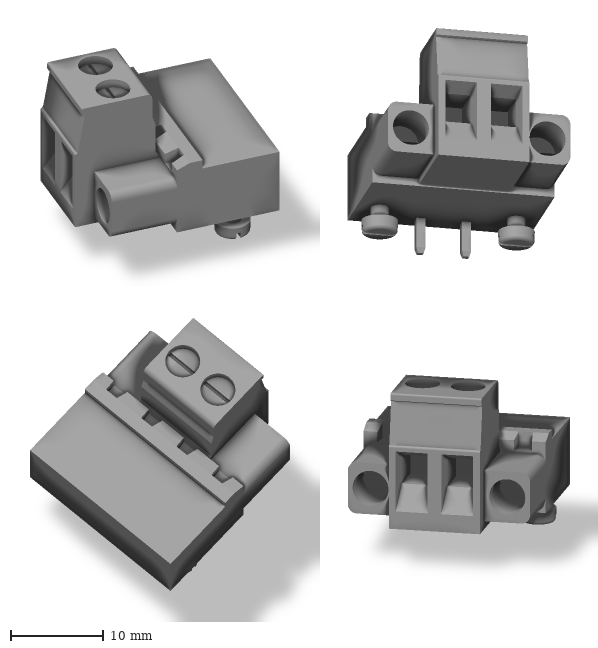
import cadquery as cq
import math

PITCH = 5.08
POLE_XS = [-PITCH / 2, PITCH / 2]
FLANGE_XS = [-1.5 * PITCH, 1.5 * PITCH]

HEADER_WIDTH = 4 * PITCH
HEADER_DEPTH = 12.0
HEADER_HEIGHT = 7.55
LIP_DEPTH = 3.0
LIP_HEIGHT = 8.6
LIP_FRONT_HEIGHT = 8.0
LIP_SLOPE_DEPTH = 1.5
NOTCH_FLOOR = 6.85
NOTCH_FRONT_WIDTH = 2.0
NOTCH_BACK_WIDTH = 1.55

PLUG_WIDTH = 2 * PITCH
PLUG_FRONT = -9.9
PLUG_BACK = -0.87
PLUG_HEIGHT = 15.05
WAIST_BACK = -0.5
WAIST_FOOT_HEIGHT = 6.85
WAIST_BOTTOM = 7.5
WAIST_TOP = 11.05
WAIST_TAPER_TOP = 12.1
PLUG_TOP_RADIUS = 0.6
SHOULDER_HEIGHT = 9.4
SHOULDER_RADIUS = 0.25
SHOULDER_DEPTH = 0.3
CAP_FRONT = -9.1
CAP_UNDERSIDE = 14.25
CAP_RADIUS = 0.2
CAP_OVERHANG = 0.33
CAP_CHAMFER = 0.15

FLANGE_DEPTH = 7.65
FLANGE_BOTTOM = 0.85
FLANGE_TOP = 6.63
FLANGE_RADIUS = 1.0
FLANGE_HOLE_DIAMETER = 4.0
FLANGE_HOLE_DEPTH = 5.0
FLANGE_HOLE_Z = 3.75

CLAMP_HOLE_DIAMETER = 3.8
CLAMP_HOLE_DEPTH = 1.0
CLAMP_Y = -4.46
SUNK_SLOT_WIDTH = 0.45
SUNK_SLOT_DEPTH = 0.5

ENTRY_WIDTH = 3.53
ENTRY_BOTTOM = 2.0
ENTRY_TOP = 8.75
ENTRY_RAMP_DEPTH = 1.9
ENTRY_DEPTH = 6.0
ENTRY_BACK_WIDTH = 3.0
ENTRY_BACK_BOTTOM = 4.65
ENTRY_BACK_TOP = 7.9

PIN_Y = 10.0
PIN_SIZE = 1.0
PIN_LENGTH = 4.0
PIN_TIP_LENGTH = 0.6
PIN_TIP_SIZE = 0.65

BOARD_SCREW_Y = 7.48
SHANK_DIAMETER = 2.0
SHANK_LENGTH = 1.5
HEAD_DIAMETER = 4.0
HEAD_LOWER_DIAMETER = 3.9
HEAD_HEIGHT = 1.55
HEAD_EDGE_HEIGHT = 0.45
HEAD_FACE_DIAMETER = 3.2
HEAD_SLOT_WIDTH = 0.6
HEAD_SLOT_DEPTH = 0.85


def box(x_mid, width, y_min, y_max, z_min, z_max):
    """Upright box centred on x_mid."""
    corner = (x_mid - width / 2, y_min, z_min)
    return cq.Workplane("XY").box(width, y_max - y_min, z_max - z_min, centered=False).translate(corner)


def extrude_profile(profile, width):
    """Extrude a closed YZ outline symmetrically about the mid plane."""
    return profile.close().extrude(width / 2, both=True)


def make_header():
    profile = (
        cq.Workplane("YZ")
        .moveTo(0, 0)
        .lineTo(HEADER_DEPTH, 0)
        .lineTo(HEADER_DEPTH, HEADER_HEIGHT)
        .lineTo(LIP_DEPTH, HEADER_HEIGHT)
        .lineTo(LIP_DEPTH, LIP_HEIGHT)
        .lineTo(LIP_SLOPE_DEPTH, LIP_HEIGHT)
        .lineTo(0, LIP_FRONT_HEIGHT)
    )
    header = extrude_profile(profile, HEADER_WIDTH)
    for x in FLANGE_XS + POLE_XS:
        header = header.cut(make_lip_notch(x))
    return header


def make_lip_notch(x):
    """Notch in the lip, narrowing away from the mating face."""
    return (
        cq.Workplane("XY", origin=(x, 0, NOTCH_FLOOR))
        .moveTo(-NOTCH_FRONT_WIDTH / 2, 0)
        .lineTo(NOTCH_FRONT_WIDTH / 2, 0)
        .lineTo(NOTCH_BACK_WIDTH / 2, LIP_SLOPE_DEPTH)
        .lineTo(-NOTCH_BACK_WIDTH / 2, LIP_SLOPE_DEPTH)
        .close()
        .extrude(LIP_HEIGHT - NOTCH_FLOOR)
    )


def make_plug_body():
    shoulder_edge = PLUG_FRONT + SHOULDER_DEPTH
    profile = (
        cq.Workplane("YZ")
        .moveTo(PLUG_FRONT, 0)
        .lineTo(PLUG_BACK, 0)
        .lineTo(PLUG_BACK, FLANGE_BOTTOM)
        .lineTo(0, FLANGE_BOTTOM)
        .lineTo(0, WAIST_FOOT_HEIGHT)
        .lineTo(WAIST_BACK, WAIST_BOTTOM)
        .lineTo(WAIST_BACK, WAIST_TOP)
        .lineTo(PLUG_BACK, WAIST_TAPER_TOP)
        .lineTo(PLUG_BACK, PLUG_HEIGHT - PLUG_TOP_RADIUS)
        .radiusArc((PLUG_BACK - PLUG_TOP_RADIUS, PLUG_HEIGHT), -PLUG_TOP_RADIUS)
        .lineTo(CAP_FRONT + CAP_RADIUS, PLUG_HEIGHT)
        .radiusArc((CAP_FRONT, PLUG_HEIGHT - CAP_RADIUS), -CAP_RADIUS)
        .lineTo(CAP_FRONT, CAP_UNDERSIDE)
        .lineTo(CAP_FRONT + CAP_OVERHANG, CAP_UNDERSIDE - CAP_CHAMFER)
        .lineTo(shoulder_edge, SHOULDER_HEIGHT)
        .lineTo(PLUG_FRONT + SHOULDER_RADIUS, SHOULDER_HEIGHT)
        .radiusArc((PLUG_FRONT, SHOULDER_HEIGHT - SHOULDER_RADIUS), -SHOULDER_RADIUS)
    )
    return extrude_profile(profile, PLUG_WIDTH)


def make_flanges():
    span = box(0, HEADER_WIDTH, -FLANGE_DEPTH, 0, FLANGE_BOTTOM, FLANGE_TOP)
    return span.edges("|Y").fillet(FLANGE_RADIUS)


def make_slotted_recess(diameter, hole_depth):
    """Round pocket below the XY plane, with a screwdriver slot along X in its floor."""
    hole = cq.Workplane("XY").circle(diameter / 2).extrude(-hole_depth)
    slot = box(0, diameter, -SUNK_SLOT_WIDTH / 2, SUNK_SLOT_WIDTH / 2, -hole_depth - SUNK_SLOT_DEPTH, 0)
    shaft = cq.Workplane("XY").circle(diameter / 2).extrude(-hole_depth - SUNK_SLOT_DEPTH)
    return hole.union(slot.intersect(shaft))


def make_wire_entry(x):
    """Funnel with a steep ramp as its floor, followed by a straight rectangular duct."""
    front_z = (ENTRY_BOTTOM + ENTRY_TOP) / 2
    back_z = (ENTRY_BACK_BOTTOM + ENTRY_BACK_TOP) / 2
    ramp_end = PLUG_FRONT + ENTRY_RAMP_DEPTH
    duct_end = PLUG_FRONT + ENTRY_DEPTH
    duct = box(x, ENTRY_BACK_WIDTH, ramp_end, duct_end, ENTRY_BACK_BOTTOM, ENTRY_BACK_TOP)
    funnel = (
        cq.Workplane("XZ", origin=(x, PLUG_FRONT, 0))
        .center(0, front_z)
        .rect(ENTRY_WIDTH, ENTRY_TOP - ENTRY_BOTTOM)
        .workplane(offset=-ENTRY_RAMP_DEPTH)
        .center(0, back_z - front_z)
        .rect(ENTRY_BACK_WIDTH, ENTRY_BACK_TOP - ENTRY_BACK_BOTTOM)
        .loft(ruled=True)
    )
    return funnel.union(duct)


def make_plug():
    plug = make_plug_body().union(make_flanges())
    clamp_recess = make_slotted_recess(CLAMP_HOLE_DIAMETER, CLAMP_HOLE_DEPTH)
    for x in POLE_XS:
        plug = plug.cut(clamp_recess.translate((x, CLAMP_Y, PLUG_HEIGHT)))
        plug = plug.cut(make_wire_entry(x))
    flange_recess = make_slotted_recess(FLANGE_HOLE_DIAMETER, FLANGE_HOLE_DEPTH)
    flange_recess = flange_recess.rotate((0, 0, 0), (1, 0, 0), 90)
    for x in FLANGE_XS:
        plug = plug.cut(flange_recess.translate((x, -FLANGE_DEPTH, FLANGE_HOLE_Z)))
    return plug


def make_pin(x):
    pin = (
        cq.Workplane("XY", origin=(x, PIN_Y, 0))
        .rect(PIN_SIZE, PIN_SIZE)
        .extrude(PIN_TIP_LENGTH - PIN_LENGTH)
    )
    tip = (
        cq.Workplane("XY", origin=(x, PIN_Y, PIN_TIP_LENGTH - PIN_LENGTH))
        .rect(PIN_SIZE, PIN_SIZE)
        .workplane(offset=-PIN_TIP_LENGTH)
        .rect(PIN_TIP_SIZE, PIN_TIP_SIZE)
        .loft(ruled=True)
    )
    return pin.union(tip)


def make_board_screw(x):
    bottom = -SHANK_LENGTH - HEAD_HEIGHT
    edge_z = bottom + HEAD_EDGE_HEIGHT
    edge_width = (HEAD_LOWER_DIAMETER - HEAD_FACE_DIAMETER) / 2
    sin_45 = math.sqrt(0.5)
    arc_middle = (
        HEAD_FACE_DIAMETER / 2 + edge_width * sin_45,
        bottom + HEAD_EDGE_HEIGHT * (1 - sin_45),
    )
    screw = (
        cq.Workplane("XZ")
        .moveTo(0, 0)
        .lineTo(SHANK_DIAMETER / 2, 0)
        .lineTo(SHANK_DIAMETER / 2, -SHANK_LENGTH)
        .lineTo(HEAD_DIAMETER / 2, -SHANK_LENGTH)
        .lineTo(HEAD_LOWER_DIAMETER / 2, edge_z)
        .threePointArc(arc_middle, (HEAD_FACE_DIAMETER / 2, bottom))
        .lineTo(0, bottom)
        .close()
        .revolve(360, (0, 0, 0), (0, 1, 0))
    )
    half_slot = HEAD_SLOT_WIDTH / 2
    slot = box(0, HEAD_DIAMETER, -half_slot, half_slot, bottom, bottom + HEAD_SLOT_DEPTH)
    return screw.cut(slot).translate((x, BOARD_SCREW_Y, 0))


result = make_header().union(make_plug())
for pole_x in POLE_XS:
    result = result.union(make_pin(pole_x))
for flange_x in FLANGE_XS:
    result = result.union(make_board_screw(flange_x))